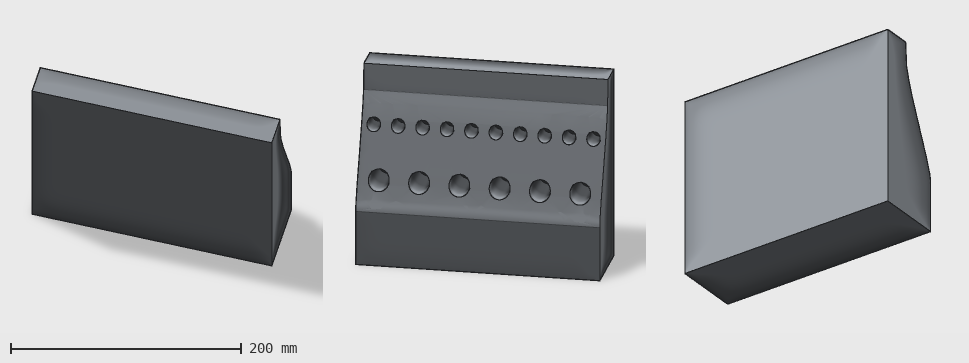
import cadquery as cq

length = 215.7
depth = 64.5
height = 172.5

shoulder_height = 49.2
shoulder_pull = 16.8
neck_height = 148.8
neck_depth = 28.5
neck_pull_y = 6.7
neck_pull_z = 32.4
top_depth = 27.0

large_count = 6
large_pitch = 35.5
large_diameter = 18.3
large_height = 76.1
small_count = 10
small_pitch = length / small_count
small_diameter = 11.9
small_height = 120.5
hole_bottom_y = 13.0


def make_body():
    """Constant profile along X, with one S-curve between shoulder and neck."""
    s_curve = [
        (depth, shoulder_height),
        (depth, shoulder_height + shoulder_pull),
        (neck_depth + neck_pull_y, neck_height - neck_pull_z),
        (neck_depth, neck_height),
    ]
    return (
        cq.Workplane("YZ", origin=(-length / 2, 0, 0))
        .lineTo(depth, 0)
        .lineTo(depth, shoulder_height)
        .bezier(s_curve)
        .lineTo(top_depth, height)
        .lineTo(0, height)
        .close()
        .extrude(length)
    )


def hole_row(count, pitch, diameter, z):
    """Cutters for one row of horizontal holes, centred along the block."""
    hole_plane = cq.Plane(origin=(0, hole_bottom_y, z), xDir=(1, 0, 0), normal=(0, 1, 0))
    return (
        cq.Workplane(hole_plane)
        .rarray(pitch, 2.2, count, 1)
        .circle(diameter / 2)
        .extrude(depth - hole_bottom_y)
    )


large_holes = hole_row(large_count, large_pitch, large_diameter, large_height)
small_holes = hole_row(small_count, small_pitch, small_diameter, small_height)
result = make_body().cut(large_holes).cut(small_holes)